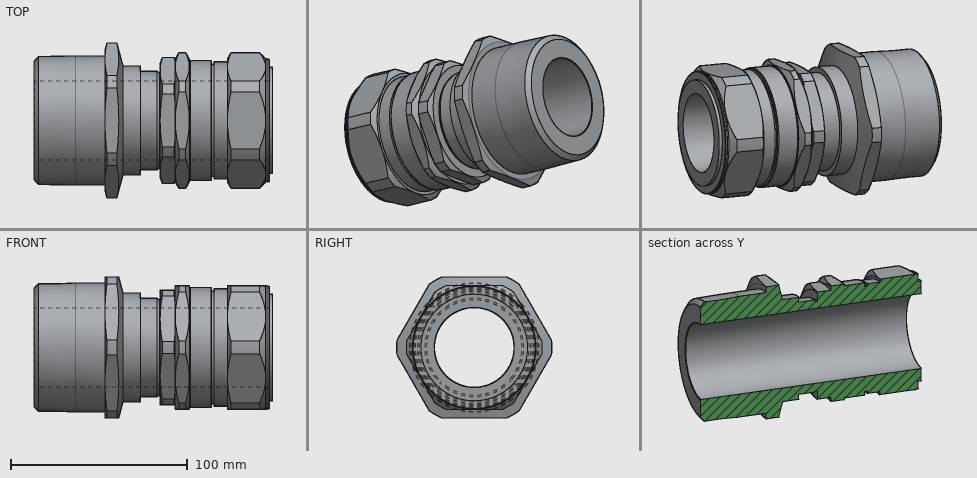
import cadquery as cq
import math


thread_taper_end = 23.5
flange_start = 40.2
flange_end = 50.5
collar_end = 60.3
neck_end = 71.0
body_hex_start = 71.45
body_hex_end = 79.85
middle_hex_end = 88.2
sleeve_end = 100.7
groove_end = 102.1
nut_start = 109.6
nut_end = 132.1
ring_end = 133.3
total_length = 135.2

thread_radius = 36.65
thread_start_radius = 36.25
collar_radius = 31.0
neck_radius = 28.0
core_radius = 27.0
sleeve_radius = 34.1
groove_radius = 31.9
nut_shank_radius = 33.3
ring_radius = 34.9
tail_radius = 30.2
bore_radius = 22.5

flange_flats = 80.0
body_hex_flats = 65.0
nut_flats = 70.0
corner_ratio = 1.1
hexagon_sides = 6

shallow_chamfer = 15
body_hex_chamfer = 20
steep_chamfer = 30
nut_tail_chamfer = 45
flange_front_radius = 39.7
body_hex_front_radius = 32.3
body_hex_back_radius = 34.2
middle_hex_face_radius = 34.6
nut_land_length = 0.8

thread_chamfer = 2.5
thread_chamfer_drop = 2.9
neck_chamfer = 1.3
neck_chamfer_drop = 0.9
sleeve_chamfer = 0.5
ring_chamfer = 0.3
bore_chamfer = 0.3


def cylinder(start, end, radius):
    """Solid cylinder on the X axis between two stations."""
    return cq.Workplane("YZ").workplane(offset=start).circle(radius).extrude(end - start)


def revolve_profile(points):
    """Solid of revolution about X from an (x, radius) outline closed along the axis."""
    outline = [(points[0][0], 0)] + points + [(points[-1][0], 0)]
    return cq.Workplane("XY").polyline(outline).close().revolve(360, (0, 0, 0), (1, 0, 0))


def hexagon(start, end, flats, front_radius, front_angle, back_radius, back_angle, back_land=0):
    """Hexagon with flats facing +Z and -Z, its corners turned and both ends cone chamfered."""
    corner_radius = flats / 2 * corner_ratio
    front_length = (corner_radius - front_radius) * math.tan(math.radians(front_angle))
    back_length = (corner_radius - back_radius) * math.tan(math.radians(back_angle))
    cone_end = end - back_land
    outline = [
        (start, front_radius),
        (start + front_length, corner_radius),
        (cone_end - back_length, corner_radius),
        (cone_end, back_radius),
    ]
    if back_land:
        outline.append((end, back_radius))
    turned = revolve_profile(outline)
    prism = (
        cq.Workplane("YZ")
        .workplane(offset=start)
        .polygon(hexagon_sides, flats / math.cos(math.pi / hexagon_sides))
        .extrude(end - start)
    )
    return prism.intersect(turned)


def entry_thread():
    """Chamfered nose, tapered thread and parallel shank up to the flange."""
    return revolve_profile([
        (0, thread_start_radius - thread_chamfer_drop),
        (thread_chamfer, thread_start_radius),
        (thread_taper_end, thread_radius),
        (flange_start, thread_radius),
    ])


def neck():
    """Round neck behind the collar, chamfered at its far end."""
    return revolve_profile([
        (collar_end, neck_radius),
        (neck_end - neck_chamfer, neck_radius),
        (neck_end, neck_radius - neck_chamfer_drop),
    ])


def sleeve():
    """Round sleeve behind the middle hexagon with both edges broken."""
    return cylinder(middle_hex_end, sleeve_end, sleeve_radius).faces("<X or >X").chamfer(sleeve_chamfer)


def bore():
    """Through bore with a countersunk edge at the entry."""
    hole = cylinder(0, total_length, bore_radius)
    countersink = revolve_profile([
        (0, bore_radius + bore_chamfer),
        (bore_chamfer, bore_radius),
    ])
    return hole.union(countersink)


sections = [
    hexagon(flange_start, flange_end, flange_flats, flange_front_radius, shallow_chamfer,
            collar_radius, shallow_chamfer),
    cylinder(flange_end, collar_end, collar_radius),
    neck(),
    cylinder(neck_end, body_hex_start, core_radius),
    hexagon(body_hex_start, body_hex_end, body_hex_flats, body_hex_front_radius, body_hex_chamfer,
            body_hex_back_radius, shallow_chamfer),
    hexagon(body_hex_end, middle_hex_end, nut_flats, middle_hex_face_radius, steep_chamfer,
            middle_hex_face_radius, steep_chamfer),
    sleeve(),
    cylinder(sleeve_end, groove_end, groove_radius),
    cylinder(groove_end, nut_start, nut_shank_radius),
    hexagon(nut_start, nut_end, nut_flats, nut_flats / 2, steep_chamfer,
            nut_flats / 2, nut_tail_chamfer, nut_land_length),
    cylinder(nut_end, ring_end, ring_radius).faces(">X").chamfer(ring_chamfer),
    cylinder(ring_end, total_length, tail_radius),
]

gland = entry_thread()
for section in sections:
    gland = gland.union(section)

result = gland.cut(bore())